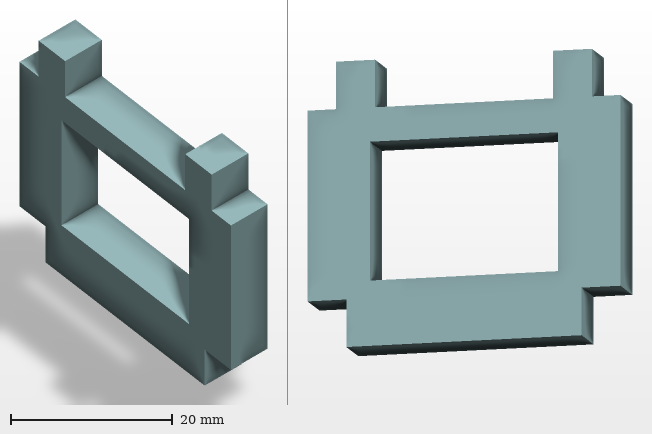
import cadquery as cq

width = 39.9
thickness = 6.0
height = 36.0

foot_width = 30.0
foot_height = 6.0
post_width = 5.0
post_height = 6.0
post_inset = 3.65

window_width = 24.0
window_height = 17.48
window_bottom = 8.2

body_height = height - foot_height - post_height
body_top = foot_height + body_height
post_center = width / 2 - post_inset - post_width / 2


def block(block_width, block_height, bottom, center_x=0):
    """Full-thickness block standing at the given height."""
    return (
        cq.Workplane("XY")
        .box(block_width, thickness, block_height, centered=(True, True, False))
        .translate((center_x, 0, bottom))
    )


body = block(width, body_height, foot_height)
foot = block(foot_width, foot_height, 0)
frame = body.union(foot)

for side in (-1, 1):
    frame = frame.union(block(post_width, post_height, body_top, side * post_center))

window = block(window_width, window_height, window_bottom)
result = frame.cut(window)